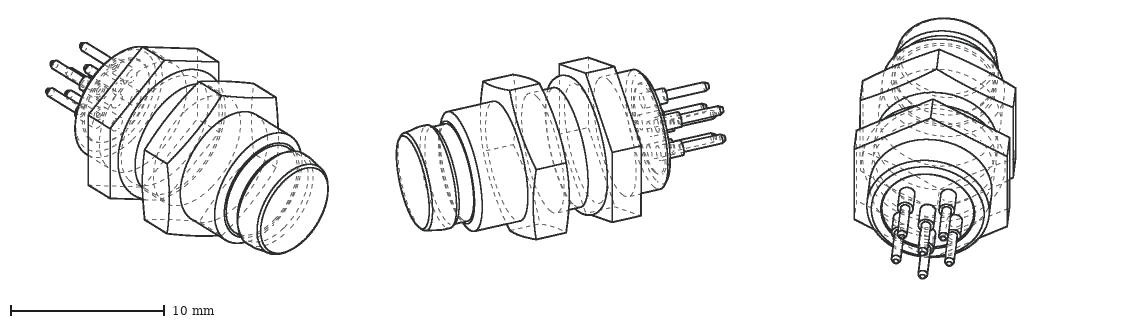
import cadquery as cq
import math

total_length = 21.0

shoulder_x = 3.0
body_start_x = 4.5
flange_start_x = 7.0
flange_end_x = 9.0
nut_start_x = 12.0
nut_end_x = 14.5
body_end_x = 17.98
neck_end_x = 18.98

body_diameter = 8.0
rear_chamfer_length = 0.27
rear_chamfer_height = 0.32
front_cone_length = 0.32
front_cone_diameter = 6.85
recess_mouth_diameter = 6.13
recess_floor_diameter = 6.0
recess_depth = 0.1

neck_diameter = 6.5
collar_diameter = 6.9
collar_ramp_length = 0.25
collar_length = 0.5
nose_taper = 0.19
nose_edge = 0.17

across_flats = 10.0
across_corners = across_flats / math.cos(math.radians(30))
nut_chamfer_angle = 15.0

ring_thickness = 1.3
ring_center_x = flange_end_x + ring_thickness / 2

pin_diameter = 0.6
pin_base_diameter = 1.0
pin_tip_length = 0.25
pin_tip_bevel = 0.13
pin_circle_radius = 1.9
pin_spacing_angle = 67.2
outer_pin_count = 5


def revolve_about_x(profile):
    """Revolve an (x, radius) outline drawn in the XY plane about the X axis."""
    return profile.close().revolve(360, (0, 0, 0), (1, 0, 0))


def make_body():
    body_radius = body_diameter / 2
    collar_radius = collar_diameter / 2
    collar_start_x = neck_end_x + collar_ramp_length
    nose_radius = collar_radius - nose_taper
    profile = (
        cq.Workplane("XY")
        .moveTo(body_start_x + recess_depth, 0)
        .lineTo(body_start_x + recess_depth, recess_floor_diameter / 2)
        .lineTo(body_start_x, recess_mouth_diameter / 2)
        .lineTo(body_start_x, body_radius - rear_chamfer_height)
        .lineTo(body_start_x + rear_chamfer_length, body_radius)
        .lineTo(body_end_x - front_cone_length, body_radius)
        .lineTo(body_end_x, front_cone_diameter / 2)
        .lineTo(body_end_x, neck_diameter / 2)
        .lineTo(neck_end_x, neck_diameter / 2)
        .lineTo(collar_start_x, collar_radius)
        .lineTo(collar_start_x + collar_length, collar_radius)
        .lineTo(total_length - nose_edge, nose_radius)
        .lineTo(total_length, nose_radius - nose_edge)
        .lineTo(total_length, 0)
    )
    return revolve_about_x(profile)


def make_hexagon(start_x, end_x):
    return (
        cq.Workplane("YZ", origin=(start_x, 0, 0))
        .polygon(6, across_corners)
        .extrude(end_x - start_x)
        .rotate((0, 0, 0), (1, 0, 0), 90)
    )


def make_nut():
    """Hexagon with both faces chamfered from the flats out to the corners."""
    face_radius = across_flats / 2
    corner_radius = across_corners / 2
    chamfer_length = (corner_radius - face_radius) * math.tan(math.radians(nut_chamfer_angle))
    envelope = (
        cq.Workplane("XY")
        .moveTo(nut_start_x, 0)
        .lineTo(nut_start_x, face_radius)
        .lineTo(nut_start_x + chamfer_length, corner_radius)
        .lineTo(nut_end_x - chamfer_length, corner_radius)
        .lineTo(nut_end_x, face_radius)
        .lineTo(nut_end_x, 0)
    )
    return make_hexagon(nut_start_x, nut_end_x).intersect(revolve_about_x(envelope))


def make_sealing_ring():
    return (
        cq.Workplane("XY")
        .center(ring_center_x, body_diameter / 2)
        .circle(ring_thickness / 2)
        .revolve(360, (0, -body_diameter / 2, 0), (1, -body_diameter / 2, 0))
    )


def make_pin(y, z):
    pin_radius = pin_diameter / 2
    pin_end_x = body_start_x + 2 * recess_depth
    profile = (
        cq.Workplane("XY")
        .lineTo(0, pin_radius - pin_tip_bevel)
        .lineTo(pin_tip_length, pin_radius)
        .lineTo(shoulder_x, pin_radius)
        .lineTo(shoulder_x, pin_base_diameter / 2)
        .lineTo(pin_end_x, pin_base_diameter / 2)
        .lineTo(pin_end_x, 0)
    )
    return revolve_about_x(profile).translate((0, y, z))


def pin_positions():
    """Centre pin, then the outer pins spread evenly either side of the lowest one."""
    positions = [(0, 0)]
    for index in range(outer_pin_count):
        angle = math.radians((index - outer_pin_count // 2) * pin_spacing_angle)
        positions.append((pin_circle_radius * math.sin(angle), -pin_circle_radius * math.cos(angle)))
    return positions


result = make_body()
result = result.union(make_hexagon(flange_start_x, flange_end_x))
result = result.union(make_sealing_ring())
result = result.union(make_nut())
for pin_y, pin_z in pin_positions():
    result = result.union(make_pin(pin_y, pin_z))